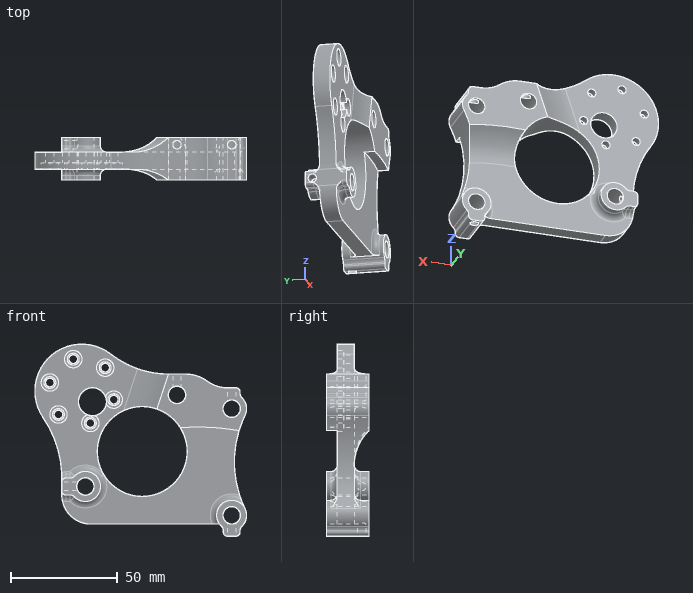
import cadquery as cq
import math


PLATE_DEPTH = 8.0
FRONT_RISE = 5.1
BACK_RISE = 6.9
FRONT_FACE = -FRONT_RISE
BACK_FACE = PLATE_DEPTH + BACK_RISE

BORE_DIAMETER = 42.0
HEAD_DISTANCE = 40.0
HEAD_DIAGONAL = math.radians(45)
HEAD_OFFSET = HEAD_DISTANCE * math.cos(HEAD_DIAGONAL)
HEAD_X = -HEAD_OFFSET
HEAD_Z = HEAD_OFFSET
HEAD_RADIUS = 22.0

SHAFT_DIAMETER = 13.0
SHAFT_SHIFT = 7.0
SHAFT_OFFSET = (HEAD_DISTANCE - SHAFT_SHIFT) * math.cos(HEAD_DIAGONAL)

SCREW_COUNT = 6
SCREW_FIRST_ANGLE = 45
SCREW_CIRCLE_RADIUS = 15.5
SCREW_DIAMETER = 4.0
SCREW_HEAD_DIAMETER = 8.1
SCREW_HEAD_DEPTH = 3.0
SCREW_STEP_DIAMETER = 5.6
SCREW_STEP_DEPTH = 0.2

EYE_RADIUS = 7.0
PIVOT_DIAMETER = 8.0
TAB_HALF_WIDTH = 4.0
TAB_REACH = 9.8
LEFT_TAB_REACH = 11.1
TAB_CORNER_RADIUS = 2.0
TAB_BLEND_RADIUS = 2.8
ROOT_FILLET = 3.0

RIGHT_X = 41.9
UPPER_RIGHT_Z = 20.0
PIVOT_SPACING = 49.9
LOWER_RIGHT_Z = UPPER_RIGHT_Z - PIVOT_SPACING
LEFT_PIVOT_X = -26.6
LEFT_PIVOT_Z = -16.4
TOP_PIVOT_X = 16.3
TOP_PIVOT_Z = 26.5

SET_SCREW_DIAMETER = 4.0
SET_SCREW_INSET = 3.5
SET_SCREW_Y = BACK_FACE - SET_SCREW_INSET

PLATE_LEFT = LEFT_PIVOT_X - LEFT_TAB_REACH
PLATE_BOTTOM = -34.0
PLATE_CORNER_RADIUS = LEFT_PIVOT_Z - TAB_HALF_WIDTH - PLATE_BOTTOM
SHOULDER_Z = TOP_PIVOT_Z + TAB_REACH
UPPER_TAB_Z = UPPER_RIGHT_Z + TAB_REACH
WAIST_RADIUS = 50.0

BEND_SHARE = 0.52

RAMP_RADIUS = 23.3
FOLD_ANGLE = 18.3
BLOCK_ARC_RADIUS = 114.1
BLOCK_ARC_X = 25.8
BLOCK_ARC_TOP = 11.5

BEYOND = 119.0


def point_towards(start, target, distance):
    """Point at a given distance from start on the line to target."""
    span = math.dist(start, target)
    return tuple(s + (t - s) * distance / span for s, t in zip(start, target))


def neck_radius(along, rise):
    """Radius of an arc touching both the head and a straight side, where the side is
    met at distance `along` from the head centre and lies `rise` out from that centre."""
    return (along**2 + rise**2 - HEAD_RADIUS**2) / (2 * (HEAD_RADIUS - rise))


def plane_at(depth):
    """XZ workplane at Y = depth; extrusions from it run towards -Y."""
    return cq.Workplane("XZ", origin=(0, depth, 0))


def ear(reach):
    """Full-depth eye at the origin with its tab pointing to +Z."""
    blend_x = TAB_HALF_WIDTH + TAB_BLEND_RADIUS
    blend_z = math.sqrt((EYE_RADIUS + TAB_BLEND_RADIUS) ** 2 - blend_x**2)
    touch_x, touch_z = point_towards((0, 0), (blend_x, blend_z), EYE_RADIUS)
    middle_x, middle_z = point_towards((blend_x, blend_z), (TAB_HALF_WIDTH, touch_z), TAB_BLEND_RADIUS)
    shape = (
        plane_at(BACK_FACE)
        .moveTo(-TAB_HALF_WIDTH, reach)
        .lineTo(TAB_HALF_WIDTH, reach)
        .lineTo(TAB_HALF_WIDTH, blend_z)
        .threePointArc((middle_x, middle_z), (touch_x, touch_z))
        .threePointArc((0, -EYE_RADIUS), (-touch_x, touch_z))
        .threePointArc((-middle_x, middle_z), (-TAB_HALF_WIDTH, blend_z))
        .close()
        .extrude(BACK_FACE - FRONT_FACE)
    )
    return shape.edges("|Y").edges(">Z").fillet(TAB_CORNER_RADIUS)


def ear_with_root(reach):
    """Ear standing on a piece of plate, with fillets where it leaves both plate faces."""
    patch_size = 4 * reach
    patch = plane_at(PLATE_DEPTH).rect(patch_size, patch_size).extrude(PLATE_DEPTH)
    shape = patch.union(ear(reach))
    near = 1.5 * reach
    tolerance = 0.1
    root = cq.selectors.BoxSelector(
        (-near, -tolerance, -near), (near, PLATE_DEPTH + tolerance, near), boundingbox=True
    )
    return shape.edges(root).fillet(ROOT_FILLET)


def place(shape, x, z, turn):
    """Turn a shape about Y, then move it to (x, z)."""
    return shape.rotate((0, 0, 0), (0, 1, 0), turn).translate((x, 0, z))


def outline():
    """Full-depth prism of the whole outer contour."""
    head = (HEAD_X, HEAD_Z)

    shoulder_start = TOP_PIVOT_X - TAB_HALF_WIDTH
    top_neck = neck_radius(shoulder_start - HEAD_X, SHOULDER_Z - HEAD_Z)
    top_neck_centre = (shoulder_start, SHOULDER_Z + top_neck)
    top_touch = point_towards(head, top_neck_centre, HEAD_RADIUS)

    left_tab_top = LEFT_PIVOT_Z + TAB_HALF_WIDTH
    left_neck = neck_radius(HEAD_Z - left_tab_top, HEAD_X - PLATE_LEFT)
    left_neck_centre = (PLATE_LEFT - left_neck, left_tab_top)
    left_touch = point_towards(head, left_neck_centre, HEAD_RADIUS)

    shoulder_end = TOP_PIVOT_X + TAB_HALF_WIDTH
    upper_tab_start = RIGHT_X - TAB_HALF_WIDTH + TAB_CORNER_RADIUS
    bend_start = (shoulder_end, SHOULDER_Z)
    bend_end = (upper_tab_start, UPPER_TAB_Z)
    bend = point_towards(bend_start, bend_end, BEND_SHARE * math.dist(bend_start, bend_end))

    upper_eye = (RIGHT_X, UPPER_RIGHT_Z)
    lower_eye = (RIGHT_X, LOWER_RIGHT_Z)
    waist_z = (UPPER_RIGHT_Z + LOWER_RIGHT_Z) / 2
    waist_x = RIGHT_X + math.sqrt((WAIST_RADIUS + EYE_RADIUS) ** 2 - (PIVOT_SPACING / 2) ** 2)
    waist_top = point_towards(upper_eye, (waist_x, waist_z), EYE_RADIUS)
    waist_bottom = point_towards(lower_eye, (waist_x, waist_z), EYE_RADIUS)

    contour = (
        plane_at(BACK_FACE)
        .moveTo(*top_touch)
        .radiusArc((shoulder_start, SHOULDER_Z), -top_neck)
        .lineTo(*bend_start)
        .tangentArcPoint(bend, relative=False)
        .tangentArcPoint(bend_end, relative=False)
        .lineTo(RIGHT_X, UPPER_TAB_Z)
        .lineTo(*upper_eye)
        .lineTo(*waist_top)
        .threePointArc((waist_x - WAIST_RADIUS, waist_z), waist_bottom)
        .lineTo(*lower_eye)
        .lineTo(RIGHT_X, PLATE_BOTTOM)
        .lineTo(PLATE_LEFT + PLATE_CORNER_RADIUS, PLATE_BOTTOM)
        .tangentArcPoint((PLATE_LEFT, PLATE_BOTTOM + PLATE_CORNER_RADIUS), relative=False)
        .lineTo(PLATE_LEFT, left_tab_top)
        .radiusArc(left_touch, -left_neck)
        .threePointArc(point_towards(head, (2 * HEAD_X, 2 * HEAD_Z), HEAD_RADIUS), top_touch)
        .close()
        .extrude(BACK_FACE - FRONT_FACE)
    )
    contour = contour.union(place(ear(TAB_REACH), RIGHT_X, UPPER_RIGHT_Z, 0))
    return contour.union(place(ear(TAB_REACH), RIGHT_X, LOWER_RIGHT_Z, 180))


def ramp_run(rise):
    """Length over which a ramp that starts flush with the plate gains the given rise."""
    return math.sqrt(RAMP_RADIUS**2 - (RAMP_RADIUS - rise) ** 2)


def thick_block():
    """Raised zone right of the fold and above the shallow arc. Its left side ramps down on
    both faces; along the arc the front drops straight and only the back ramps down."""
    front_run = ramp_run(FRONT_RISE)
    back_run = ramp_run(BACK_RISE)

    ramped = (
        cq.Workplane("XY", origin=(0, 0, -BEYOND))
        .moveTo(-front_run, 0)
        .radiusArc((0, FRONT_FACE), RAMP_RADIUS)
        .lineTo(BEYOND, FRONT_FACE)
        .lineTo(BEYOND, BACK_FACE)
        .lineTo(0, BACK_FACE)
        .radiusArc((-back_run, PLATE_DEPTH), RAMP_RADIUS)
        .close()
        .extrude(2 * BEYOND)
    )
    ramped = place(ramped, TOP_PIVOT_X - TAB_HALF_WIDTH, SHOULDER_Z, FOLD_ANGLE)

    above_arc = (
        cq.Workplane("XY")
        .moveTo(BLOCK_ARC_RADIUS, FRONT_FACE)
        .lineTo(BLOCK_ARC_RADIUS + BEYOND, FRONT_FACE)
        .lineTo(BLOCK_ARC_RADIUS + BEYOND, BACK_FACE)
        .lineTo(BLOCK_ARC_RADIUS, BACK_FACE)
        .radiusArc((BLOCK_ARC_RADIUS - back_run, PLATE_DEPTH), RAMP_RADIUS)
        .lineTo(BLOCK_ARC_RADIUS, PLATE_DEPTH)
        .close()
        .revolve(360, (0, 0), (0, 1))
        .translate((BLOCK_ARC_X, 0, BLOCK_ARC_TOP - BLOCK_ARC_RADIUS))
    )
    return ramped.intersect(above_arc)


def round_hole(x, z, diameter):
    """Cutter for a hole along Y through the full depth."""
    return plane_at(BACK_FACE).center(x, z).circle(diameter / 2).extrude(BACK_FACE - FRONT_FACE)


def screw_hole():
    """Cutter for a counterbored hole in the plate, with a smaller step below the counterbore."""
    head_radius = SCREW_HEAD_DIAMETER / 2
    step_radius = SCREW_STEP_DIAMETER / 2
    radius = SCREW_DIAMETER / 2
    step_floor = SCREW_HEAD_DEPTH + SCREW_STEP_DEPTH
    return (
        cq.Workplane("XY")
        .lineTo(head_radius, 0)
        .lineTo(head_radius, SCREW_HEAD_DEPTH)
        .lineTo(step_radius, SCREW_HEAD_DEPTH)
        .lineTo(step_radius, step_floor)
        .lineTo(radius, step_floor)
        .lineTo(radius, PLATE_DEPTH)
        .lineTo(0, PLATE_DEPTH)
        .close()
        .revolve(360, (0, 0), (0, 1))
    )


def set_screw_hole(reach):
    """Cutter from the end of a tab pointing to +Z down to the pivot axis."""
    return cq.Workplane("XY").center(0, SET_SCREW_Y).circle(SET_SCREW_DIAMETER / 2).extrude(reach)


UPPER_PIVOTS = [
    (RIGHT_X, UPPER_RIGHT_Z, 0, TAB_REACH),
    (TOP_PIVOT_X, TOP_PIVOT_Z, 0, TAB_REACH),
]
FREE_PIVOTS = [
    (RIGHT_X, LOWER_RIGHT_Z, 180, TAB_REACH),
    (LEFT_PIVOT_X, LEFT_PIVOT_Z, -90, LEFT_TAB_REACH),
]

contour = outline()
body = plane_at(PLATE_DEPTH).rect(2 * BEYOND, 2 * BEYOND).extrude(PLATE_DEPTH).intersect(contour)
body = body.union(thick_block().intersect(contour))
for x, z, turn, reach in FREE_PIVOTS:
    body = body.union(place(ear_with_root(reach), x, z, turn).intersect(contour))

body = body.cut(round_hole(0, 0, BORE_DIAMETER))
body = body.cut(round_hole(-SHAFT_OFFSET, SHAFT_OFFSET, SHAFT_DIAMETER))

for x, z, turn, reach in UPPER_PIVOTS + FREE_PIVOTS:
    body = body.cut(round_hole(x, z, PIVOT_DIAMETER))
    body = body.cut(place(set_screw_hole(reach), x, z, turn))

for index in range(SCREW_COUNT):
    angle = math.radians(SCREW_FIRST_ANGLE + index * 360 / SCREW_COUNT)
    screw_x = HEAD_X + SCREW_CIRCLE_RADIUS * math.cos(angle)
    screw_z = HEAD_Z + SCREW_CIRCLE_RADIUS * math.sin(angle)
    body = body.cut(place(screw_hole(), screw_x, screw_z, 0))

result = body